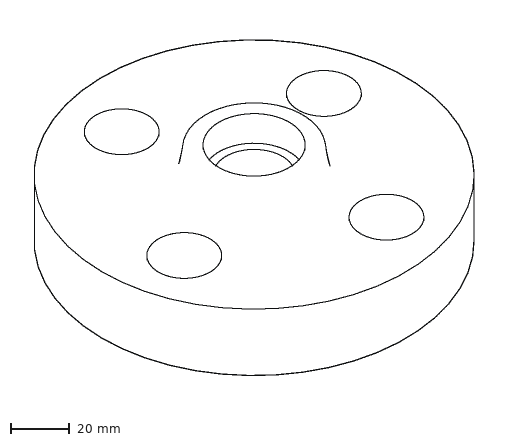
import cadquery as cq

flange_diameter = 149.3
flange_thickness = 28.5

hub_height = 12.7
hub_base_radius = 26.1
hub_top_radius = 24.0
hub_fillet = 1.5

socket_diameter = 34.6
socket_depth = 12.7
bore_diameter = 27.8

bolt_count = 4
bolt_hole_diameter = 25.4
bolt_circle_radius = 50.8

total_height = flange_thickness + hub_height


def flange_with_hub():
    """Disc and conical hub, blended at the hub root and rounded at the rim."""
    profile = (
        cq.Workplane("XZ")
        .lineTo(flange_diameter / 2, 0)
        .lineTo(flange_diameter / 2, flange_thickness)
        .lineTo(hub_base_radius, flange_thickness)
        .lineTo(hub_top_radius, total_height)
        .lineTo(0, total_height)
        .close()
    )
    body = profile.revolve(360, (0, 0, 0), (0, 1, 0))
    hub_root = cq.selectors.RadiusNthSelector(1)
    hub_rim = cq.selectors.RadiusNthSelector(0)
    return body.edges("%CIRCLE").edges(hub_root + hub_rim).fillet(hub_fillet)


def stepped_bore():
    """Through bore with a wider socket sunk in from the hub top."""
    bore = cq.Workplane("XY").circle(bore_diameter / 2).extrude(total_height)
    socket = (
        cq.Workplane("XY", origin=(0, 0, total_height))
        .circle(socket_diameter / 2)
        .extrude(-socket_depth)
    )
    return bore.union(socket)


def bolt_holes():
    """Evenly spaced through holes on the bolt circle."""
    return (
        cq.Workplane("XY")
        .polarArray(bolt_circle_radius, 0, 360, bolt_count)
        .circle(bolt_hole_diameter / 2)
        .extrude(flange_thickness)
    )


result = flange_with_hub().cut(stepped_bore()).cut(bolt_holes())